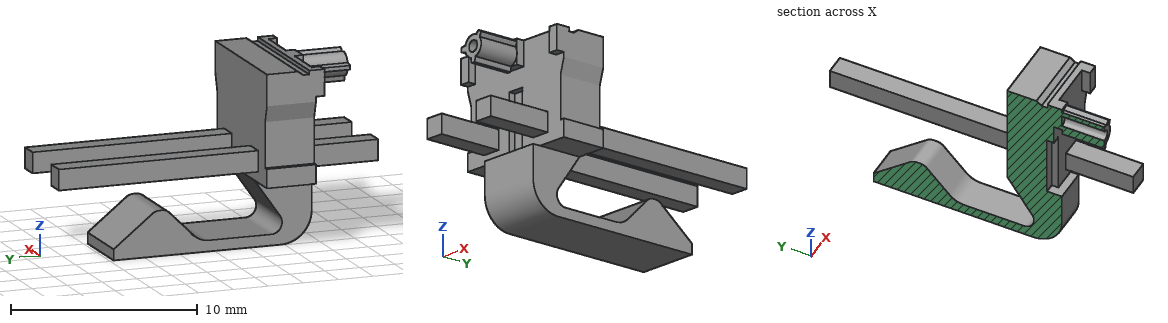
import cadquery as cq
import math


body_width = 7.77
body_depth = 2.82
body_height = 6.3
waist_width = 7.22
foot_height = 1.06
taper_bottom = 3.6
taper_top = 4.54

groove_front = 0.38
groove_floor_back = 0.73
groove_back = 1.05
groove_depth = 0.22

lug_depth = 0.5
lug_bottom = 4.81
side_lug_width = 0.62
center_lug_width = 1.28

slot_width = 1.06
slot_height = 3.65
slot_depth = 0.4

pin_size = 1.17
pin_pitch = 3.97
pin_height = 1.19
pin_length = 18.29
pin_front = -4.06

latch_width = 3.91
latch_bottom = -3.71
latch_thickness = 0.62
latch_tip = 10.86
crest_front = 7.83
crest_back = 8.47
crest_z = -1.19
root_angle = 54.8
ramp_angle = 45.0
outer_bend_radius = 1.77
inner_bend_radius = 0.62
crest_radius = 0.62
valley_radius = 1.25

peg_height = 5.45
peg_radius = 0.65
peg_hole_radius = 0.33
peg_length = 2.56
rib_base_half_width = 0.2
rib_half_width = 0.15
rib_tip_half_width = 0.11
rib_base_start = 0.55
rib_tip_length = 0.07
ribs = [(180, 0.97), (270, 0.93), (53, 0.91)]


def box(x_center, width, y_min, y_max, z_min, z_max):
    return (
        cq.Workplane("XY")
        .box(width, y_max - y_min, z_max - z_min, centered=(True, False, False))
        .translate((x_center, y_min, z_min))
    )


def make_body():
    half_width = body_width / 2
    half_waist = waist_width / 2
    right_side = [
        (half_width, 0),
        (half_width, foot_height),
        (half_waist, foot_height),
        (half_waist, taper_bottom),
        (half_width, taper_top),
        (half_width, body_height),
    ]
    left_side = [(-x, z) for x, z in reversed(right_side)]
    body = cq.Workplane("XZ").polyline(right_side + left_side).close().extrude(-body_depth)

    groove_floor = body_height - groove_depth
    groove = (
        cq.Workplane("YZ")
        .moveTo(groove_front, body_height)
        .lineTo(groove_front, groove_floor)
        .lineTo(groove_floor_back, groove_floor)
        .lineTo(groove_back, body_height)
        .close()
        .extrude(half_width, both=True)
    )
    slot = box(0, slot_width, 0, slot_depth, 0, slot_height)
    return body.cut(groove).cut(slot)


def make_lugs():
    side_x = (body_width - side_lug_width) / 2
    lugs = box(0, center_lug_width, -lug_depth, 0, lug_bottom, body_height)
    for x in (-side_x, side_x):
        lugs = lugs.union(box(x, side_lug_width, -lug_depth, 0, lug_bottom, body_height))
    return lugs


def make_latch():
    arm_top = latch_bottom + latch_thickness
    bend_y = body_depth + arm_top / math.tan(math.radians(root_angle))
    valley_y = crest_front - (crest_z - arm_top) / math.tan(math.radians(ramp_angle))
    latch = (
        cq.Workplane("YZ")
        .moveTo(-lug_depth, 0)
        .lineTo(-lug_depth, latch_bottom)
        .lineTo(latch_tip, latch_bottom)
        .lineTo(latch_tip, arm_top)
        .lineTo(crest_back, crest_z)
        .lineTo(crest_front, crest_z)
        .lineTo(valley_y, arm_top)
        .lineTo(bend_y, arm_top)
        .lineTo(body_depth, 0)
        .close()
        .extrude(latch_width / 2, both=True)
    )
    bends = [
        (-lug_depth, latch_bottom, outer_bend_radius),
        (crest_back, crest_z, crest_radius),
        (crest_front, crest_z, crest_radius),
        (valley_y, arm_top, valley_radius),
        (bend_y, arm_top, inner_bend_radius),
    ]
    for y, z, radius in bends:
        latch = latch.edges(cq.selectors.NearestToPointSelector((0, y, z))).fillet(radius)
    return latch


def make_peg():
    peg = cq.Workplane("XZ").circle(peg_radius).extrude(peg_length)
    for angle, reach in ribs:
        upper_side = [
            (rib_base_start, rib_base_half_width),
            (reach - rib_tip_length, rib_half_width),
            (reach, rib_tip_half_width),
        ]
        lower_side = [(x, -z) for x, z in reversed(upper_side)]
        rib = cq.Workplane("XZ").polyline(upper_side + lower_side).close().extrude(peg_length)
        peg = peg.union(rib.rotate((0, 0, 0), (0, -1, 0), angle))
    hole = cq.Workplane("XZ").circle(peg_hole_radius).extrude(peg_length)
    return peg.cut(hole).translate((0, -lug_depth, peg_height))


def make_pin(x):
    pin_bottom = pin_height - pin_size / 2
    return box(x, pin_size, pin_front, pin_front + pin_length, pin_bottom, pin_bottom + pin_size)


result = make_body().union(make_lugs()).union(make_latch()).union(make_peg())
for pin_x in (-pin_pitch / 2, pin_pitch / 2):
    result = result.union(make_pin(pin_x))